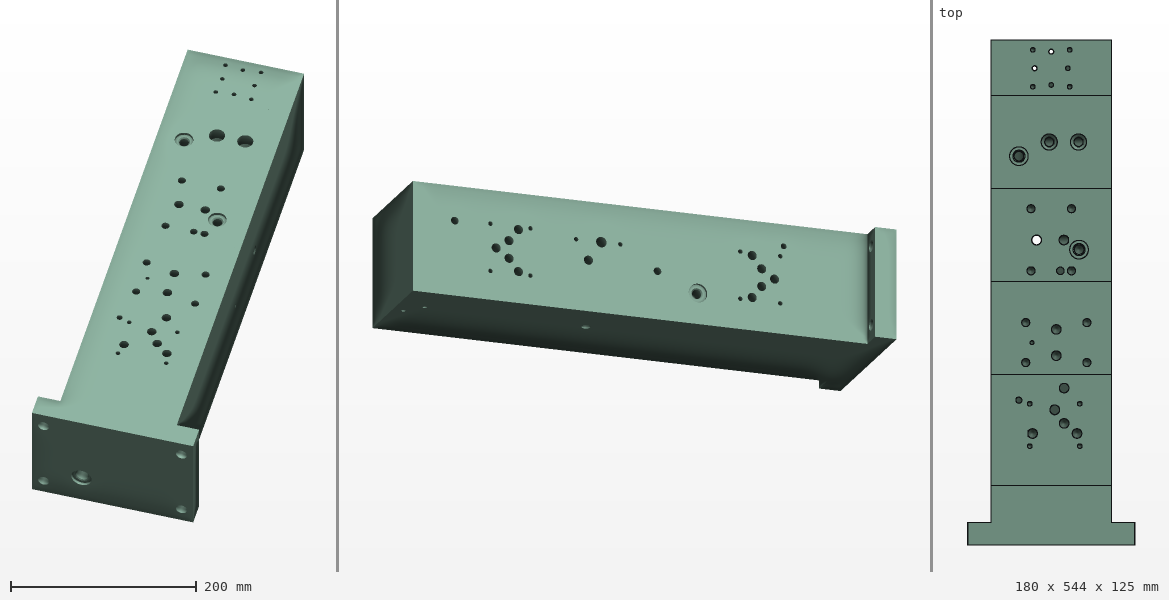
import cadquery as cq
import math

TOTAL_LENGTH = 544.0
HEIGHT = 125.0
BLOCK_WIDTH = 130.0
FLANGE_WIDTH = 180.0
FLANGE_THICKNESS = 24.5
END_BLOCK_LENGTH = 64.0
WIDE_VALVE_BLOCK_LENGTH = 119.5
BLOCK_LENGTH = 100.0

WIDE_VALVE_BLOCK_Y = END_BLOCK_LENGTH
PILOT_BLOCK_Y = WIDE_VALVE_BLOCK_Y + WIDE_VALVE_BLOCK_LENGTH
CARTRIDGE_BLOCK_Y = PILOT_BLOCK_Y + BLOCK_LENGTH
REAR_VALVE_BLOCK_Y = CARTRIDGE_BLOCK_Y + BLOCK_LENGTH
COVER_BLOCK_Y = REAR_VALVE_BLOCK_Y + BLOCK_LENGTH

LEFT_X = -BLOCK_WIDTH / 2

DOWN = cq.Vector(0, 0, -1)
INWARD = cq.Vector(1, 0, 0)
REARWARD = cq.Vector(0, 1, 0)

DRILL_TIP_ANGLE = 118.0
SMALL_ORIFICE_DIAMETER = 4.0
PIN_HOLE_DIAMETER = 4.2
SMALL_BOLT_DIAMETER = 5.0
SMALL_BOLT_DEPTH = 16.5
LINK_DIAMETER = 6.5
LARGE_BOLT_DIAMETER = 8.5
LARGE_BOLT_DEPTH = 22.0
PASSAGE_DIAMETER = 10.5
PASSAGE_DEPTH = 32.5

SPOT_FACE_DEPTH = 3.0
TOP_PORT = {"spot_face": 20.0, "countersink": 13.0, "bore": 10.5}
SIDE_PORT = {"spot_face": 21.0, "countersink": 13.0, "bore": 10.5}
FRONT_PORT = {"spot_face": 23.0, "countersink": 16.5, "bore": 14.0}
PORT_DEPTH = 22.0

GALLERY_X = -35.0
GALLERY_Z = 35.5
GALLERY_DIAMETER = 14.0

BOLT_ROW_SPACING = 45.5
BOLT_SPACING = 54.0
PRESSURE_OFFSET = 6.5
WORK_OFFSET = 21.0
WORK_SPACING = 20.0
TANK_OFFSET = 32.0
TANK_SPACING = 48.0


def block(start_y, length):
    """Plain block, centred on X, with its underside on Z = 0."""
    body = cq.Workplane("XY").box(BLOCK_WIDTH, length, HEIGHT, centered=(True, False, False))
    return body.translate((0, start_y, 0))


def top_point(x, y):
    return cq.Vector(x, y, HEIGHT)


def left_point(y, z):
    return cq.Vector(LEFT_X, y, z)


def flat_drill(body, start, direction, diameter, depth):
    """Cut a hole with a flat floor."""
    return body.cut(cq.Workplane(cq.Solid.makeCylinder(diameter / 2, depth, start, direction)))


def drill(body, start, direction, diameter, depth):
    """Cut a blind hole whose full-diameter depth ends in a conical drill tip."""
    tip_length = diameter / 2 / math.tan(math.radians(DRILL_TIP_ANGLE / 2))
    tip = cq.Solid.makeCone(diameter / 2, 0, tip_length, start + direction * depth, direction)
    return flat_drill(body, start, direction, diameter, depth).cut(cq.Workplane(tip))


def port(body, start, direction, sizes):
    """Cut a spot-faced, countersunk threaded port."""
    sink_radius = sizes["countersink"] / 2
    bore_radius = sizes["bore"] / 2
    sink_start = start + direction * SPOT_FACE_DEPTH
    countersink = cq.Solid.makeCone(
        sink_radius, bore_radius, sink_radius - bore_radius, sink_start, direction
    )
    body = flat_drill(body, start, direction, sizes["spot_face"], SPOT_FACE_DEPTH)
    body = body.cut(cq.Workplane(countersink))
    return drill(body, start, direction, sizes["bore"], PORT_DEPTH)


def tank_gallery(body, start_y, length):
    """Cut the stretch of the tank gallery that lies in one block."""
    start = cq.Vector(GALLERY_X, start_y, GALLERY_Z)
    return flat_drill(body, start, REARWARD, GALLERY_DIAMETER, length)


def valve_bolt_holes(body, points, direction):
    for point in points:
        body = drill(body, point, direction, SMALL_BOLT_DIAMETER, SMALL_BOLT_DEPTH)
    return body


FLANGE_HOLE_DIAMETER = 12.5
FLANGE_HOLE_SPACING_X = 154.0
FLANGE_HOLE_SPACING_Z = 90.0


def make_end_block():
    flange = cq.Workplane("XY").box(
        FLANGE_WIDTH, FLANGE_THICKNESS, HEIGHT, centered=(True, False, False)
    )
    body = block(0, END_BLOCK_LENGTH).union(flange)
    for side in (-1, 1):
        for level in (-1, 1):
            corner = cq.Vector(
                side * FLANGE_HOLE_SPACING_X / 2, 0, HEIGHT / 2 + level * FLANGE_HOLE_SPACING_Z / 2
            )
            body = flat_drill(body, corner, REARWARD, FLANGE_HOLE_DIAMETER, FLANGE_THICKNESS)
    return port(body, cq.Vector(GALLERY_X, 0, GALLERY_Z), REARWARD, FRONT_PORT)


SIDE_FACE_FRONT_ROW_Y = 124.0
SIDE_FACE_Z = 61.5
TOP_FACE_X = 4.0
TOP_FACE_REAR_ROW_Y = 152.5
TOP_FLOOR_DEPTH = 76.0
REAR_PASSAGE_Y = 169.0
GALLERY_LINK_Y = 156.0
SIDE_LINK_Z = 100.0


def make_wide_valve_block():
    body = block(WIDE_VALVE_BLOCK_Y, WIDE_VALVE_BLOCK_LENGTH)
    body = tank_gallery(body, WIDE_VALVE_BLOCK_Y, WIDE_VALVE_BLOCK_LENGTH)

    side_bolts = [
        left_point(SIDE_FACE_FRONT_ROW_Y + row * BOLT_ROW_SPACING, SIDE_FACE_Z + level * BOLT_SPACING / 2)
        for row in (0, 1)
        for level in (-1, 1)
    ]
    body = valve_bolt_holes(body, side_bolts, INWARD)
    pressure = left_point(SIDE_FACE_FRONT_ROW_Y + PRESSURE_OFFSET, SIDE_FACE_Z)
    body = drill(body, pressure, INWARD, PASSAGE_DIAMETER, PASSAGE_DEPTH)
    work_y = SIDE_FACE_FRONT_ROW_Y + WORK_OFFSET
    upper_work = left_point(work_y, SIDE_FACE_Z + WORK_SPACING / 2)
    body = flat_drill(body, upper_work, INWARD, PASSAGE_DIAMETER, TOP_FACE_X - LEFT_X)
    lower_work = left_point(work_y, SIDE_FACE_Z - WORK_SPACING / 2)
    body = flat_drill(body, lower_work, INWARD, PASSAGE_DIAMETER, PASSAGE_DEPTH)
    for level in (-1, 1):
        tank = left_point(SIDE_FACE_FRONT_ROW_Y + TANK_OFFSET, SIDE_FACE_Z + level * TANK_SPACING / 2)
        body = flat_drill(body, tank, INWARD, PASSAGE_DIAMETER, GALLERY_X - LEFT_X)

    top_bolts = [
        top_point(TOP_FACE_X + side * BOLT_SPACING / 2, TOP_FACE_REAR_ROW_Y - row * BOLT_ROW_SPACING)
        for row in (0, 1)
        for side in (-1, 1)
    ]
    body = valve_bolt_holes(body, top_bolts, DOWN)
    top_pressure = top_point(TOP_FACE_X, TOP_FACE_REAR_ROW_Y - PRESSURE_OFFSET)
    body = flat_drill(body, top_pressure, DOWN, PASSAGE_DIAMETER, TOP_FLOOR_DEPTH)
    work_x = TOP_FACE_X + WORK_SPACING / 2
    work = top_point(work_x, TOP_FACE_REAR_ROW_Y - WORK_OFFSET)
    body = drill(body, work, DOWN, PASSAGE_DIAMETER, PASSAGE_DEPTH)
    tank_y = TOP_FACE_REAR_ROW_Y - TANK_OFFSET
    for side in (-1, 1):
        tank = top_point(TOP_FACE_X + side * TANK_SPACING / 2, tank_y)
        body = drill(body, tank, DOWN, PASSAGE_DIAMETER, PASSAGE_DEPTH)
    body = flat_drill(body, top_point(work_x, REAR_PASSAGE_Y), DOWN, PASSAGE_DIAMETER, PASSAGE_DEPTH)

    gallery_link = top_point(GALLERY_X, GALLERY_LINK_Y)
    body = flat_drill(body, gallery_link, DOWN, LINK_DIAMETER, HEIGHT - GALLERY_Z)
    side_link_depth = TOP_FACE_X - TANK_SPACING / 2 - LEFT_X
    return flat_drill(body, left_point(tank_y, SIDE_LINK_Z), INWARD, LINK_DIAMETER, side_link_depth)


PILOT_FACE_X = 5.5
PILOT_FACE_Y = 218.0
PILOT_BOLT_SPACING_X = 66.0
PILOT_BOLT_SPACING_Y = 43.0
PILOT_PASSAGE_SPACING = 28.5
PILOT_PIN_X = -20.5
ORIFICE_Y = 264.5
ORIFICE_Z = 55.0
ORIFICE_ENTRY_DEPTH = 16.5


def make_pilot_block():
    body = tank_gallery(block(PILOT_BLOCK_Y, BLOCK_LENGTH), PILOT_BLOCK_Y, BLOCK_LENGTH)
    for row in (-1, 1):
        for side in (-1, 1):
            bolt = top_point(
                PILOT_FACE_X + side * PILOT_BOLT_SPACING_X / 2, PILOT_FACE_Y + row * PILOT_BOLT_SPACING_Y / 2
            )
            body = drill(body, bolt, DOWN, LARGE_BOLT_DIAMETER, LARGE_BOLT_DEPTH)
        passage = top_point(PILOT_FACE_X, PILOT_FACE_Y + row * PILOT_PASSAGE_SPACING / 2)
        body = drill(body, passage, DOWN, PASSAGE_DIAMETER, PASSAGE_DEPTH)
    pin = top_point(PILOT_PIN_X, PILOT_FACE_Y)
    body = drill(body, pin, DOWN, PIN_HOLE_DIAMETER, SMALL_BOLT_DEPTH)

    orifice = left_point(ORIFICE_Y, ORIFICE_Z)
    body = drill(body, orifice, INWARD, LARGE_BOLT_DIAMETER, ORIFICE_ENTRY_DEPTH)
    body = flat_drill(body, orifice, INWARD, SMALL_ORIFICE_DIAMETER, BLOCK_WIDTH)

    tank_port = left_point(PILOT_FACE_Y, GALLERY_Z)
    body = port(body, tank_port, INWARD, SIDE_PORT)
    return flat_drill(body, tank_port, INWARD, SMALL_ORIFICE_DIAMETER, GALLERY_X - LEFT_X)


CARTRIDGE_FACE_Y = 328.5
CARTRIDGE_BOLT_SPACING_X = 43.5
CARTRIDGE_BOLT_ROWS_Y = (295.5, 362.5)
THROUGH_PASSAGE_X = -16.0
SIDE_PASSAGE_X = 13.5
SIDE_PASSAGE_Z = 80.5
SIDE_PASSAGE_DIAMETER = 12.0
CARTRIDGE_PORT_X = 30.0
CARTRIDGE_PORT_Y = 318.0
DOWEL_X = 10.0
DOWEL_DIAMETER = 8.0
DOWEL_DEPTH = 11.0
SIDE_BOLTS_Y = (307.0, 357.5)
CROSS_PASSAGE_Y = 343.0
CROSS_PASSAGE_Z = 58.0


def make_cartridge_block():
    body = tank_gallery(block(CARTRIDGE_BLOCK_Y, BLOCK_LENGTH), CARTRIDGE_BLOCK_Y, BLOCK_LENGTH)
    for row_y in CARTRIDGE_BOLT_ROWS_Y:
        for side in (-1, 1):
            bolt = top_point(side * CARTRIDGE_BOLT_SPACING_X / 2, row_y)
            body = drill(body, bolt, DOWN, LARGE_BOLT_DIAMETER, LARGE_BOLT_DEPTH)
    dowel = top_point(DOWEL_X, CARTRIDGE_BOLT_ROWS_Y[0])
    body = flat_drill(body, dowel, DOWN, DOWEL_DIAMETER, DOWEL_DEPTH)

    through = top_point(THROUGH_PASSAGE_X, CARTRIDGE_FACE_Y)
    body = flat_drill(body, through, DOWN, PASSAGE_DIAMETER, HEIGHT)
    cross = left_point(CROSS_PASSAGE_Y, CROSS_PASSAGE_Z)
    body = flat_drill(body, cross, INWARD, PASSAGE_DIAMETER, BLOCK_WIDTH)
    side_passage = left_point(CARTRIDGE_FACE_Y, SIDE_PASSAGE_Z)
    side_depth = SIDE_PASSAGE_X + PASSAGE_DIAMETER / 2 - LEFT_X
    body = flat_drill(body, side_passage, INWARD, SIDE_PASSAGE_DIAMETER, side_depth)
    top_passage = top_point(SIDE_PASSAGE_X, CARTRIDGE_FACE_Y)
    body = flat_drill(body, top_passage, DOWN, PASSAGE_DIAMETER, HEIGHT - SIDE_PASSAGE_Z)

    side_bolts = [left_point(bolt_y, SIDE_PASSAGE_Z) for bolt_y in SIDE_BOLTS_Y]
    body = valve_bolt_holes(body, side_bolts, INWARD)
    return port(body, top_point(CARTRIDGE_PORT_X, CARTRIDGE_PORT_Y), DOWN, TOP_PORT)


REAR_FACE_ROW_Y = 455.5
REAR_FACE_Z = 60.0
WORK_PORT_DIAMETER = 17.5
WORK_PORT_DEPTH = 14.0
WORK_PORT_BORE = 10.0
UPPER_WORK_PORT_X = -2.0
LOWER_WORK_PORT_X = 29.5
TOP_PORT_Y = 419.0


def make_rear_valve_block():
    body = tank_gallery(block(REAR_VALVE_BLOCK_Y, BLOCK_LENGTH), REAR_VALVE_BLOCK_Y, BLOCK_LENGTH)

    bolts = [
        left_point(REAR_FACE_ROW_Y - row * BOLT_ROW_SPACING, REAR_FACE_Z + level * BOLT_SPACING / 2)
        for row in (0, 1)
        for level in (-1, 1)
    ]
    body = valve_bolt_holes(body, bolts, INWARD)
    pressure = left_point(REAR_FACE_ROW_Y - PRESSURE_OFFSET, REAR_FACE_Z)
    body = drill(body, pressure, INWARD, PASSAGE_DIAMETER, PASSAGE_DEPTH)
    for level in (-1, 1):
        tank = left_point(REAR_FACE_ROW_Y - TANK_OFFSET, REAR_FACE_Z + level * TANK_SPACING / 2)
        body = flat_drill(body, tank, INWARD, PASSAGE_DIAMETER, GALLERY_X - LEFT_X)

    work_y = REAR_FACE_ROW_Y - WORK_OFFSET
    for port_x, level in ((UPPER_WORK_PORT_X, 1), (LOWER_WORK_PORT_X, -1)):
        work_z = REAR_FACE_Z + level * WORK_SPACING / 2
        side_depth = port_x + WORK_PORT_BORE / 2 - LEFT_X
        body = drill(body, left_point(work_y, work_z), INWARD, PASSAGE_DIAMETER, side_depth)
        work_port = top_point(port_x, work_y)
        body = drill(body, work_port, DOWN, WORK_PORT_DIAMETER, WORK_PORT_DEPTH)
        body = flat_drill(body, work_port, DOWN, WORK_PORT_BORE, HEIGHT - work_z)

    tank_port = top_point(GALLERY_X, TOP_PORT_Y)
    body = port(body, tank_port, DOWN, TOP_PORT)
    return flat_drill(body, tank_port, DOWN, TOP_PORT["bore"], HEIGHT - GALLERY_Z)


COVER_FACE_Y = 513.5
COVER_BOLT_SPACING = 39.5
COVER_RING_RADIUS = 18.0
COVER_FLOOR_DEPTH = 16.5
COVER_SIDE_HOLE_Y = 496.0
COVER_SIDE_HOLE_Z = 85.5


def make_cover_block():
    body = block(COVER_BLOCK_Y, TOTAL_LENGTH - COVER_BLOCK_Y)
    bolts = [
        top_point(side * COVER_BOLT_SPACING / 2, COVER_FACE_Y + row * COVER_BOLT_SPACING / 2)
        for row in (-1, 1)
        for side in (-1, 1)
    ]
    body = valve_bolt_holes(body, bolts, DOWN)

    for x_step, y_step, depth in (
        (0, 1, HEIGHT), (-1, 0, HEIGHT), (0, -1, COVER_FLOOR_DEPTH), (1, 0, COVER_FLOOR_DEPTH)
    ):
        passage = top_point(x_step * COVER_RING_RADIUS, COVER_FACE_Y + y_step * COVER_RING_RADIUS)
        body = flat_drill(body, passage, DOWN, SMALL_BOLT_DIAMETER, depth)

    side_hole = left_point(COVER_SIDE_HOLE_Y, COVER_SIDE_HOLE_Z)
    return drill(body, side_hole, INWARD, LARGE_BOLT_DIAMETER, LARGE_BOLT_DEPTH)


end_block = make_end_block()
wide_valve_block = make_wide_valve_block()
pilot_block = make_pilot_block()
cartridge_block = make_cartridge_block()
rear_valve_block = make_rear_valve_block()
cover_block = make_cover_block()

result = cq.Compound.makeCompound(
    [
        end_block.val(),
        wide_valve_block.val(),
        pilot_block.val(),
        cartridge_block.val(),
        rear_valve_block.val(),
        cover_block.val(),
    ]
)